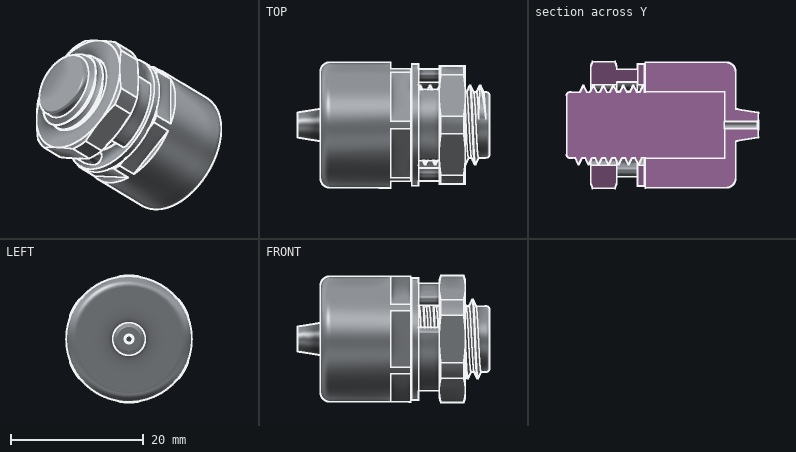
import cadquery as cq
import math

total_length = 28.97

cap_front = 3.42
cap_end = 17.12
cap_diameter = 19.0
cap_edge_radius = 1.54
cap_wall = 1.75
cap_inner_face = cap_front + cap_wall
flats_start = 14.08
cap_across_flats = 17.0

nozzle_tip_diameter = 3.82
nozzle_base_diameter = 4.92
nozzle_tip_round = 0.12
nozzle_bore = 1.05
nozzle_bore_mouth = 1.4

washer_start = 17.2
washer_end = 18.28
washer_diameter = 18.42

nut_start = 21.38
nut_end = 25.32
nut_corner_diameter = 19.25
nut_across_flats = 17.85
nut_chamfer_depth = 0.25
foot_count = 3
foot_outer_radius = 8.45
foot_thickness = 1.97
foot_span = 72.0
first_foot_angle = 90.0

stem_diameter = 9.97
stem_end_radius = 0.5
thread_diameter = 12.0
thread_pitch = 1.5
thread_base_width = 1.1
thread_crest_width = 0.12
thread_sink = 0.05
thread_end = 27.87
thread_end_angle = 79
runout_angle = 64
runout_sections = 6
thread_turns = 7
thread_clearance_diameter = 12.15
full_thread_height = (thread_diameter - stem_diameter) / 2
runout_start = thread_end - thread_pitch * runout_angle / 360


def cylinder(diameter, start, end):
    """Cylinder along X between two x positions."""
    return cq.Workplane("YZ", origin=(start, 0, 0)).circle(diameter / 2).extrude(end - start)


def hexagon(across_flats, start, end):
    """Hexagonal bar with two corners on the Z axis."""
    corner_diameter = across_flats / math.cos(math.pi / 6)
    bar = cq.Workplane("YZ", origin=(start, 0, 0)).polygon(6, corner_diameter).extrude(end - start)
    return bar.rotate((0, 0, 0), (1, 0, 0), 90)


def revolved(outline):
    """Solid of revolution about X from (x, radius) points."""
    return cq.Workplane("XY").polyline(outline).close().revolve(360, (0, 0, 0), (1, 0, 0))


def make_nozzle():
    """Solid tapered nozzle with a rounded tip edge, standing on the front face of the cap."""
    cone = revolved([
        (0, 0),
        (0, nozzle_tip_diameter / 2),
        (cap_front, nozzle_base_diameter / 2),
        (cap_front, 0),
    ])
    return cone.faces("<X").edges().fillet(nozzle_tip_round)


def make_nozzle_bore():
    """Bore through nozzle and cap wall, with a 45 degree countersink at the tip."""
    countersink_depth = (nozzle_bore_mouth - nozzle_bore) / 2
    return revolved([
        (0, 0),
        (0, nozzle_bore_mouth / 2),
        (countersink_depth, nozzle_bore / 2),
        (cap_inner_face, nozzle_bore / 2),
        (cap_inner_face, 0),
    ])


def make_cap():
    """Cap with hexagon flats at its open end, a nozzle on its front and a socket for the stem."""
    body = cylinder(cap_diameter, cap_front, cap_end)
    body = body.faces("<X").edges().fillet(cap_edge_radius)
    hexagon_waste = cylinder(2 * cap_diameter, flats_start, cap_end)
    hexagon_waste = hexagon_waste.cut(hexagon(cap_across_flats, flats_start, cap_end))
    body = body.cut(hexagon_waste)
    body = body.cut(cylinder(stem_diameter, cap_inner_face, cap_end))
    return body.union(make_nozzle()).cut(make_nozzle_bore())


def make_washer():
    """Flat ring between the cap and the feet of the nut."""
    ring = cylinder(washer_diameter, washer_start, washer_end)
    return ring.cut(cylinder(thread_clearance_diameter, washer_start, washer_end))


def polar(radius, degrees):
    """(y, z) point, with the angle measured from +Y towards +Z."""
    angle = math.radians(degrees)
    return (radius * math.cos(angle), radius * math.sin(angle))


def make_foot(middle_angle):
    """Arc-shaped foot with fully rounded ends."""
    inner = foot_outer_radius - foot_thickness
    centre = foot_outer_radius - foot_thickness / 2
    first = middle_angle - foot_span / 2
    last = middle_angle + foot_span / 2
    end_radius = math.hypot(centre, foot_thickness / 2)
    tip_angle = math.degrees(math.atan2(foot_thickness / 2, centre))
    return (
        cq.Workplane("YZ", origin=(washer_end, 0, 0))
        .moveTo(*polar(foot_outer_radius, first))
        .threePointArc(polar(foot_outer_radius, middle_angle), polar(foot_outer_radius, last))
        .threePointArc(polar(end_radius, last + tip_angle), polar(inner, last))
        .threePointArc(polar(inner, middle_angle), polar(inner, first))
        .threePointArc(polar(end_radius, first - tip_angle), polar(foot_outer_radius, first))
        .close()
        .extrude(nut_start - washer_end)
    )


def make_nut():
    """Hexagon nut with turned-down corners, chamfered ends and feet towards the washer."""
    corner_radius = nut_corner_diameter / 2
    flat_radius = nut_across_flats / 2
    body = revolved([
        (nut_start, 0),
        (nut_start, flat_radius),
        (nut_start + nut_chamfer_depth, corner_radius),
        (nut_end - nut_chamfer_depth, corner_radius),
        (nut_end, flat_radius),
        (nut_end, 0),
    ])
    body = body.intersect(hexagon(nut_across_flats, nut_start, nut_end))
    body = body.cut(cylinder(thread_clearance_diameter, nut_start, nut_end))
    for index in range(foot_count):
        body = body.union(make_foot(first_foot_angle + index * 360 / foot_count))
    return body


def thread_section(x, degrees, height, crest_width):
    """Trapezoidal thread profile standing on the stem, in the plane through X at the given angle."""
    root = stem_diameter / 2 - thread_sink
    crest = stem_diameter / 2 + height
    corners = [
        (x - thread_base_width / 2, root),
        (x - crest_width / 2, crest),
        (x + crest_width / 2, crest),
        (x + thread_base_width / 2, root),
    ]
    points = [cq.Vector(along, *polar(radius, degrees)) for along, radius in corners]
    return cq.Wire.makePolygon(points, close=True)


def make_runout():
    """End of the thread, flattening into the stem over the last part of a turn."""
    sections = []
    for index in range(runout_sections + 1):
        fraction = index / runout_sections
        degrees = thread_end_angle - runout_angle * (1 - fraction)
        x = runout_start + (thread_end - runout_start) * fraction
        height = full_thread_height * (1 - fraction)
        crest_width = thread_crest_width + (thread_base_width - thread_crest_width) * fraction
        sections.append(thread_section(x, degrees, height, crest_width))
    return cq.Workplane(cq.Solid.makeLoft(sections))


def make_full_thread():
    """Right-handed thread of full height, cut off flat at the front face of the washer."""
    length = thread_turns * thread_pitch
    start = runout_start - length
    axis = cq.Vector(1, 0, 0)
    helix = cq.Wire.makeHelix(thread_pitch, length, stem_diameter / 2, cq.Vector(start, 0, 0), axis)
    helix_start_angle = 90
    profile = thread_section(start, helix_start_angle, full_thread_height, thread_crest_width)
    thread = cq.Workplane(cq.Solid.sweep(profile, [], helix, True, True))
    turn = thread_end_angle - runout_angle - helix_start_angle - 360 * thread_turns
    thread = thread.rotate((0, 0, 0), (1, 0, 0), turn)
    return thread.cut(cylinder(cap_diameter, cap_front, washer_start))


def make_stem():
    """Stem from the cap socket through washer and nut, with a rounded free end."""
    body = cylinder(stem_diameter, cap_inner_face, total_length)
    body = body.faces(">X").edges().fillet(stem_end_radius)
    return body.union(make_full_thread()).union(make_runout())


cap = make_cap()
washer = make_washer()
nut = make_nut()
stem = make_stem()
result = cq.Compound.makeCompound([
    cap.solids().val(),
    washer.solids().val(),
    nut.solids().val(),
    stem.solids().val(),
])